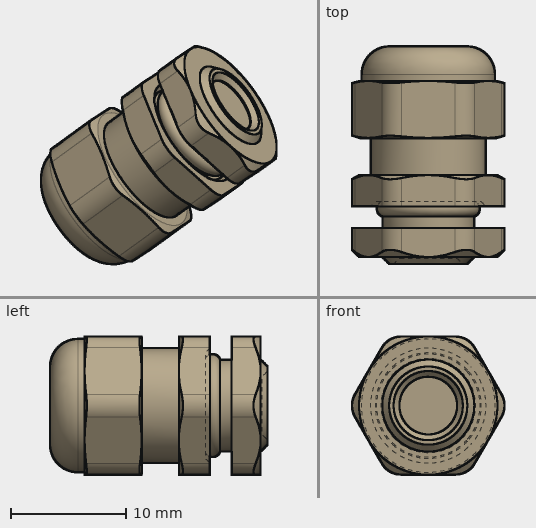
import cadquery as cq
import math

length = 18.9

across_flats = 12.0
corner_radius = 1.97
locknut_start, locknut_end = 0.6, 3.14
body_hex_start, body_hex_end = 5.0, 7.71
cap_nut_start, cap_nut_end = 10.89, 15.88
locknut_bevel_angle = 45
body_hex_bevel_angle = 30
cap_nut_bevel_angle = 17
cap_nut_rear_face_diameter = 11.6

thread_diameter = 8.0
thread_tip_diameter = 6.79
seal_diameter = 8.95
seal_start = 4.08
seal_section_radius = 0.7
seal_seat_mouth_diameter = 10.0
seal_seat_floor_diameter = 9.19
seal_seat_depth = 0.4
body_diameter = 10.0
dome_diameter = 11.6
dome_radius = 2.45

recess_mouth_diameter = 6.01
recess_floor_diameter = 5.0
recess_taper_depth = 0.5
recess_depth = 0.57


def cylinder(diameter, start, end):
    """Solid cylinder along +Y between two stations."""
    axial_plane = cq.Workplane("XZ", origin=(0, start, 0))
    return axial_plane.circle(diameter / 2).extrude(start - end)


def cone(start_diameter, end_diameter, start, end):
    """Solid truncated cone along +Y between two stations."""
    profile = [(0, start), (start_diameter / 2, start), (end_diameter / 2, end), (0, end)]
    return cq.Workplane("XY").polyline(profile).close().revolve(360, (0, 0), (0, 1))


def hexagon(start, end):
    """Hexagonal prism along +Y with rounded corners pointing along X."""
    across_corners = across_flats / math.cos(math.radians(30))
    prism = cq.Workplane("XZ", origin=(0, start, 0)).polygon(6, across_corners).extrude(start - end)
    return prism.edges("|Y").fillet(corner_radius)


def bevel(prism, face, inward, face_diameter, angle):
    """Turn a conical bevel on the prism end at y = face; inward is +1 or -1 along Y."""
    bevel_run = length
    growth = 2 * bevel_run / math.tan(math.radians(angle))
    envelope = cone(face_diameter, face_diameter + growth, face, face + inward * bevel_run)
    return prism.intersect(envelope)


locknut = bevel(hexagon(locknut_start, locknut_end), locknut_start, 1, across_flats, locknut_bevel_angle)
body_hex = bevel(hexagon(body_hex_start, body_hex_end), body_hex_end, -1, across_flats, body_hex_bevel_angle)
seal_seat_floor = body_hex_start + seal_seat_depth
seal_seat = cone(seal_seat_mouth_diameter, seal_seat_floor_diameter, body_hex_start, seal_seat_floor)
body_hex = body_hex.cut(seal_seat)

cap_nut = hexagon(cap_nut_start, cap_nut_end)
cap_nut = bevel(cap_nut, cap_nut_start, 1, cap_nut_rear_face_diameter, cap_nut_bevel_angle)
cap_nut = bevel(cap_nut, cap_nut_end, -1, across_flats, cap_nut_bevel_angle)

thread_tip = cone(thread_tip_diameter, thread_diameter, 0, locknut_start)
thread = cylinder(thread_diameter, locknut_start, body_hex_end)
seal_ring_radius = seal_diameter / 2 - seal_section_radius
seal_end = seal_start + 2 * seal_section_radius
seal_profile = (
    cq.Workplane("XY")
    .moveTo(0, seal_start)
    .lineTo(seal_ring_radius, seal_start)
    .threePointArc((seal_diameter / 2, seal_start + seal_section_radius), (seal_ring_radius, seal_end))
    .lineTo(0, seal_end)
    .close()
)
seal = seal_profile.revolve(360, (0, 0), (0, 1))
barrel = cylinder(body_diameter, body_hex_end, cap_nut_start)
dome = cylinder(dome_diameter, cap_nut_end, length).faces(">Y").edges().fillet(dome_radius)

result = thread_tip
for section in (thread, locknut, seal, body_hex, barrel, cap_nut, dome):
    result = result.union(section)

result = result.cut(cone(recess_mouth_diameter, recess_floor_diameter, 0, recess_taper_depth))
result = result.cut(cylinder(recess_floor_diameter, recess_taper_depth, recess_depth))